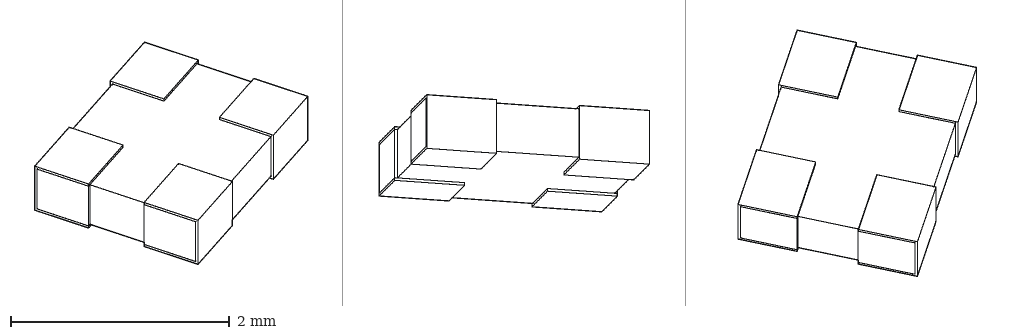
import cadquery as cq

outer_width = 1.7
outer_length = 2.11
outer_height = 0.51

layer = 0.025
terminal_width = 0.561
terminal_length = 0.663

chip_width = outer_width - 2 * layer
chip_length = outer_length - 2 * layer
chip_height = outer_height - 2 * layer


def make_chip():
    """Plain rectangular chip, centred on the origin."""
    return cq.Workplane("XY").box(chip_width, chip_length, chip_height)


def make_side_wrap(side, end):
    """C-shaped band over the top, side and bottom of one corner, open toward the chip."""
    center_x = side * (outer_width - terminal_width) / 2
    center_y = end * (outer_length - terminal_length) / 2
    band = cq.Workplane("XY").box(terminal_width, terminal_length, outer_height)
    opening = (
        cq.Workplane("XY")
        .box(terminal_width, terminal_length, chip_height)
        .translate((-side * layer, 0, 0))
    )
    return band.cut(opening).translate((center_x, center_y, 0))


def make_end_plate(side, end):
    """Plate on the chip's end face that fills the opening of the side wrap."""
    plate_width = terminal_width - layer
    center_x = side * (chip_width - plate_width) / 2
    center_y = end * (outer_length - layer) / 2
    plate = cq.Workplane("XY").box(plate_width, layer, chip_height)
    return plate.translate((center_x, center_y, 0))


chip = make_chip()

side_wraps = []
end_plates = []
for side in (-1, 1):
    for end in (-1, 1):
        side_wraps.append(make_side_wrap(side, end).val())
        end_plates.append(make_end_plate(side, end).val())

result = cq.Compound.makeCompound([chip.val(), *side_wraps, *end_plates])